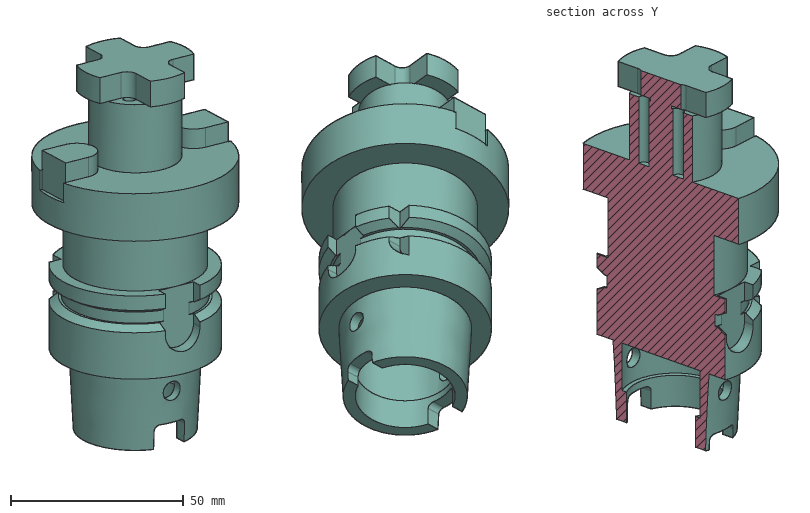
import cadquery as cq
import math

total_height = 114.8
shank_length = 25.0
groove_bottom_z = 41.1
groove_top_z = 44.9
collar_top_z = 51.0
flange_bottom_z = 70.0
flange_top_z = 84.8
head_thickness = 8.0
head_gap = 0.7
head_bottom_z = total_height - head_thickness
arbor_top_z = head_bottom_z - head_gap

shank_bottom_radius = 18.0
shank_top_radius = 19.3
collar_radius = 25.0
groove_radius = 21.5
body_radius = 21.0
flange_diameter = 60.0
flange_radius = flange_diameter / 2
arbor_radius = 13.5
neck_radius = 7.6
head_radius = 17.6

groove_ledge_radius = 22.3
groove_flank_angle = math.radians(30)
groove_flank_height = (collar_radius - groove_ledge_radius) * math.tan(groove_flank_angle)

mouth_radius = 14.5
mouth_depth = 10.0
chamber_radius = 16.0
cross_hole_radius = 3.0
cross_hole_z = 17.7
shank_slot_width = 10.7
shank_slot_heights = {-1: 4.8, 1: 7.6}
shank_slot_fillet = 1.7

collar_slot_radius = 6.1
collar_slot_round_z = 38.1
drive_slot_floor = body_radius
notch_corner = 15.5

key_width = 12.0
key_bottom_z = 78.7
key_top_z = 90.9
key_outer_y = 28.6
key_inner_y = 14.5
seat_overrun = 1.1

head_arm_width = 12.0
head_fillet = 3.1

face_hole_radius = 1.8
face_hole_offset = 6.4
face_hole_depth = arbor_top_z - flange_top_z


def box_between(x0, x1, y0, y1, z0, z1):
    """Box given by its limits along each axis."""
    return cq.Workplane("XY").box(x1 - x0, y1 - y0, z1 - z0, centered=False).translate((x0, y0, z0))


def turned_body():
    """Shank, grooved collar, body, flange, arbor and screw neck as one revolved profile."""
    profile = [
        (0, 0),
        (shank_bottom_radius, 0),
        (shank_top_radius, shank_length),
        (collar_radius, shank_length),
        (collar_radius, groove_bottom_z - groove_flank_height),
        (groove_ledge_radius, groove_bottom_z),
        (groove_radius, groove_bottom_z),
        (groove_radius, groove_top_z),
        (groove_ledge_radius, groove_top_z),
        (collar_radius, groove_top_z + groove_flank_height),
        (collar_radius, collar_top_z),
        (body_radius, collar_top_z),
        (body_radius, flange_bottom_z),
        (flange_radius, flange_bottom_z),
        (flange_radius, flange_top_z),
        (arbor_radius, flange_top_z),
        (arbor_radius, arbor_top_z),
        (neck_radius, arbor_top_z),
        (neck_radius, head_bottom_z),
        (0, head_bottom_z),
    ]
    return cq.Workplane("XZ").polyline(profile).close().revolve(360, (0, 0, 0), (0, 1, 0))


def cross_head():
    """Two crossed arms with rounded inner corners, trimmed to a round outline."""
    plane = cq.Workplane("XY").workplane(offset=head_bottom_z)
    arm_length = 2 * head_radius
    cross = plane.rect(arm_length, head_arm_width).extrude(head_thickness)
    cross = cross.union(plane.rect(head_arm_width, arm_length).extrude(head_thickness))
    reach = head_arm_width
    corner_region = cq.selectors.BoxSelector((-reach, -reach, 0), (reach, reach, total_height))
    cross = cross.edges("|Z").edges(corner_region).fillet(head_fillet)
    return cross.intersect(plane.circle(head_radius).extrude(head_thickness))


def collar_slot(floor_x, center_y):
    """Cutter for a slot open at the collar top, round at the bottom, with a flat floor facing +X."""
    straight = box_between(
        floor_x, flange_radius,
        center_y - collar_slot_radius, center_y + collar_slot_radius,
        collar_slot_round_z, collar_top_z,
    )
    round_end = (
        cq.Workplane("YZ", origin=(floor_x, center_y, collar_slot_round_z))
        .circle(collar_slot_radius)
        .extrude(flange_radius - floor_x)
    )
    return straight.union(round_end)


def shank_slot(side):
    """Cutter for the slot in the shank mouth on the given X side, with rounded top corners."""
    height = shank_slot_heights[side]
    slot = box_between(
        0, flange_radius, -shank_slot_width / 2, shank_slot_width / 2, 0, height
    ).edges("|X and >Z").fillet(shank_slot_fillet)
    return slot if side > 0 else slot.mirror("YZ")


def key_plan(outer_y):
    """Key plan on the +Y side, round towards the axis and straight out to outer_y."""
    half = key_width / 2
    return (
        cq.Workplane("XY", origin=(0, 0, key_bottom_z))
        .moveTo(-half, outer_y)
        .lineTo(-half, key_inner_y + half)
        .threePointArc((0, key_inner_y), (half, key_inner_y + half))
        .lineTo(half, outer_y)
        .close()
    )


part = turned_body().union(cross_head())

key = key_plan(key_outer_y).extrude(key_top_z - key_bottom_z)
key_seat = key_plan(flange_radius + seat_overrun).extrude(flange_top_z - key_bottom_z)
for angle in (0, 180):
    part = part.cut(key_seat.rotate((0, 0, 0), (0, 0, 1), angle))
    part = part.union(key.rotate((0, 0, 0), (0, 0, 1), angle))

drive_slot = collar_slot(drive_slot_floor, 0)
part = part.cut(drive_slot).cut(drive_slot.mirror("YZ"))
notch = collar_slot(notch_corner, -notch_corner - collar_slot_radius).mirror("YZ")
part = part.cut(notch)

part = part.cut(cq.Workplane("XY").circle(mouth_radius).extrude(mouth_depth))
chamber = (
    cq.Workplane("XY", origin=(0, 0, mouth_depth))
    .circle(chamber_radius)
    .extrude(shank_length - mouth_depth)
)
part = part.cut(chamber)
for side in shank_slot_heights:
    part = part.cut(shank_slot(side))
cross_hole = (
    cq.Workplane("YZ", origin=(0, 0, cross_hole_z))
    .circle(cross_hole_radius)
    .extrude(flange_radius, both=True)
)
part = part.cut(cross_hole)

face_holes = (
    cq.Workplane("XY", origin=(0, 0, arbor_top_z))
    .rect(2 * face_hole_offset, 2 * face_hole_offset, forConstruction=True)
    .vertices()
    .circle(face_hole_radius)
    .extrude(-face_hole_depth)
)
result = part.cut(face_holes)